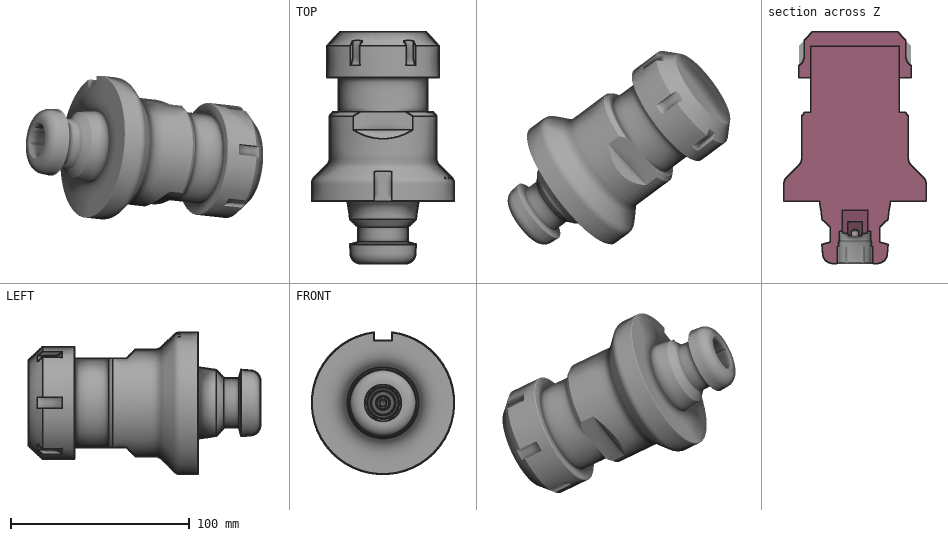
import cadquery as cq
import math


flange_diameter = 80.0
flange_radius = flange_diameter / 2
flange_rim_length = 12.0
flange_edge_chamfer = 0.3
body_radius = 30.0
cone_fillet = 5.0
body_front = 50.0
body_chamfer_length = 2.3
body_chamfer_height = 2.0
shank_diameter = 50.0
shank_radius = shank_diameter / 2
cone_angle = 45.0
cone_length = (flange_radius - body_radius) / math.tan(math.radians(cone_angle))
cone_end = flange_rim_length + cone_length

flat_end = 40.0
flat_height = shank_radius
flat_ramp = body_radius - flat_height

key_width = 10.0
key_floor = 35.0

taper_radius = 20.0
taper_start = -0.4
taper_end = -10.1
taper_end_radius = 18.6
groove_start = -14.4
groove_radius = 14.0
head_back = -22.8
head_rim = -23.9
head_rim_radius = 18.5
head_edge = -24.2
head_radius = 18.7
head_end = -35.0
head_arc_radius = 6.1
head_face_radius = 12.2
head_taper_angle = 6.0

bore_radius = 9.1
bore_mouth_radius = 10.3
bore_mouth_depth = 1.0
bore_step_depth = 12.5
bore_step_chamfer = 0.5
hex_across_flats = 16.9
hex_depth = 9.8
bore_depth = 18.2
bore_floor = head_end + bore_depth
inner_bore_radius = bore_radius - bore_step_chamfer

screw_radius = 7.0
screw_chamfer = 0.5
screw_length = 13.0
screw_protrusion = 1.3
screw_start = bore_floor - screw_protrusion
nozzle_radius = 4.0
nozzle_chamfer = 0.6
nozzle_length = 7.8
nozzle_protrusion = 1.3
nozzle_start = screw_start - nozzle_protrusion
nozzle_hole_radius = 2.0
nozzle_hole_chamfer = 0.3
nozzle_hole_depth = 2.6
drill_point_angle = 118.0

nut_diameter = 63.0
nut_radius = nut_diameter / 2
nut_back = 69.0
nut_edge = 87.0
nut_front = 95.0
nut_front_radius = 23.9
nut_back_chamfer = 0.4

slot_count = 6
slot_width = 6.1
slot_floor_radius = 28.6
slot_arc_start = 81.0
slot_back = 76.0


def revolve_about_y(profile):
    """Turn a closed (radius, y) profile about the Y axis."""
    return profile.close().revolve(360, (0, 0, 0), (0, 1, 0))


def turned(points):
    """Solid of revolution from straight-sided (radius, y) points."""
    return revolve_about_y(cq.Workplane("ZY").polyline(points))


def plug(radius, chamfer, start, length):
    """Round plug along +Y with a chamfer on its -Y end."""
    return turned([
        (0, start),
        (radius - chamfer, start),
        (radius, start + chamfer),
        (radius, start + length),
        (0, start + length),
    ])


def make_housing_blank():
    turn = math.radians(cone_angle)
    blend_length = cone_fillet * math.tan(turn / 2)
    rim_arc_y = flange_rim_length - blend_length
    rim_center_r = flange_radius - cone_fillet
    body_arc_y = cone_end + blend_length
    body_center_r = body_radius + cone_fillet

    def rim_fillet_point(angle):
        return (
            rim_center_r + cone_fillet * math.cos(angle),
            rim_arc_y + cone_fillet * math.sin(angle),
        )

    def body_fillet_point(angle):
        return (
            body_center_r - cone_fillet * math.cos(angle),
            body_arc_y - cone_fillet * math.sin(angle),
        )

    tilt = math.radians(head_taper_angle)
    mid_tilt = (math.pi / 2 + tilt) / 2
    head_center_y = head_end + head_arc_radius

    def head_arc_point(angle):
        return (
            head_face_radius + head_arc_radius * math.cos(angle),
            head_center_y - head_arc_radius * math.sin(angle),
        )

    profile = (
        cq.Workplane("ZY")
        .moveTo(0, head_end)
        .lineTo(head_face_radius, head_end)
        .threePointArc(head_arc_point(mid_tilt), head_arc_point(tilt))
        .lineTo(head_radius, head_edge)
        .lineTo(head_rim_radius, head_rim)
        .lineTo(groove_radius, head_back)
        .lineTo(groove_radius, groove_start)
        .lineTo(taper_end_radius, taper_end)
        .lineTo(taper_radius, taper_start)
        .lineTo(taper_radius, 0)
        .lineTo(flange_radius - flange_edge_chamfer, 0)
        .lineTo(flange_radius, flange_edge_chamfer)
        .lineTo(flange_radius, rim_arc_y)
        .threePointArc(rim_fillet_point(turn / 2), rim_fillet_point(turn))
        .lineTo(*body_fillet_point(turn))
        .threePointArc(body_fillet_point(turn / 2), (body_radius, body_arc_y))
        .lineTo(body_radius, body_front - body_chamfer_length)
        .lineTo(body_radius - body_chamfer_height, body_front)
        .lineTo(shank_radius, body_front)
        .lineTo(shank_radius, nut_edge)
        .lineTo(0, nut_edge)
    )
    return revolve_about_y(profile)


def make_wrench_flat():
    """Cutter for the flat on the +Z side."""
    return (
        cq.Workplane("YZ")
        .polyline([
            (flat_end - flat_ramp, body_radius),
            (flat_end, flat_height),
            (body_front, flat_height),
            (body_front, body_radius),
        ])
        .close()
        .extrude(body_radius, both=True)
    )


def make_key_slot():
    """Cutter for the slot through the flange on the +Z side."""
    slot_height = flange_radius - key_floor
    return cq.Workplane("XY").box(
        key_width, cone_end, slot_height, centered=(True, False, False)
    ).translate((0, 0, key_floor))


def make_bore():
    """Cutter for the stepped bore with its hexagon socket."""
    step = head_end + bore_step_depth
    round_bore = turned([
        (0, head_end),
        (bore_mouth_radius, head_end),
        (bore_radius, head_end + bore_mouth_depth),
        (bore_radius, step),
        (inner_bore_radius, step + bore_step_chamfer),
        (inner_bore_radius, bore_floor),
        (0, bore_floor),
    ])
    hex_across_corners = hex_across_flats / math.cos(math.pi / 6)
    hexagon = (
        cq.Workplane("XZ", origin=(0, head_end, 0))
        .polygon(6, hex_across_corners)
        .extrude(-hex_depth)
    )
    return round_bore.union(hexagon)


def make_housing(screw_blank):
    flat = make_wrench_flat()
    return (
        make_housing_blank()
        .cut(flat)
        .cut(flat.mirror("XY"))
        .cut(make_key_slot())
        .cut(make_bore())
        .cut(screw_blank)
    )


def make_nozzle(nozzle_blank):
    """Nozzle with a drilled blind hole in its -Y end."""
    hole_end = nozzle_start + nozzle_hole_depth
    point_length = nozzle_hole_radius / math.tan(math.radians(drill_point_angle / 2))
    hole = turned([
        (0, nozzle_start),
        (nozzle_hole_radius + nozzle_hole_chamfer, nozzle_start),
        (nozzle_hole_radius, nozzle_start + nozzle_hole_chamfer),
        (nozzle_hole_radius, hole_end),
        (0, hole_end + point_length),
    ])
    return nozzle_blank.cut(hole)


def make_spanner_slot():
    """Cutter for the spanner slot on the +X side, its floor curving out to the nut surface."""
    run = slot_arc_start - slot_back
    depth = nut_radius - slot_floor_radius
    arc_radius = (run**2 + depth**2) / (2 * depth)
    mid_angle = math.asin(run / arc_radius) / 2
    arc_middle = (
        slot_floor_radius + arc_radius * (1 - math.cos(mid_angle)),
        slot_arc_start - arc_radius * math.sin(mid_angle),
    )
    return (
        cq.Workplane("XY")
        .moveTo(slot_floor_radius, nut_front)
        .lineTo(slot_floor_radius, slot_arc_start)
        .threePointArc(arc_middle, (nut_radius, slot_back))
        .lineTo(nut_radius, nut_front)
        .close()
        .extrude(slot_width / 2, both=True)
    )


def make_nut():
    nut = turned([
        (shank_radius, nut_back),
        (nut_radius - nut_back_chamfer, nut_back),
        (nut_radius, nut_back + nut_back_chamfer),
        (nut_radius, nut_edge),
        (nut_front_radius, nut_front),
        (0, nut_front),
        (0, nut_edge),
        (shank_radius, nut_edge),
    ])
    slot = make_spanner_slot()
    for i in range(slot_count):
        nut = nut.cut(slot.rotate((0, 0, 0), (0, 1, 0), i * 360 / slot_count))
    return nut


screw_blank = plug(screw_radius, screw_chamfer, screw_start, screw_length)
nozzle_blank = plug(nozzle_radius, nozzle_chamfer, nozzle_start, nozzle_length)

housing = make_housing(screw_blank)
screw = screw_blank.cut(nozzle_blank)
nozzle = make_nozzle(nozzle_blank)
nut = make_nut()

result = cq.Compound.makeCompound([housing.val(), screw.val(), nozzle.val(), nut.val()])